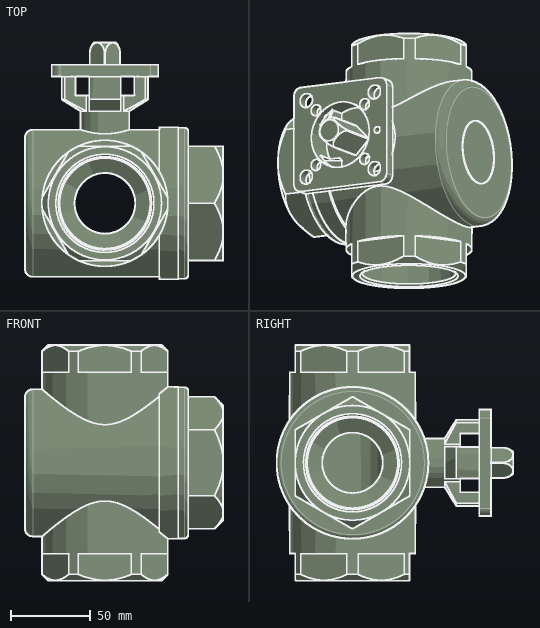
import cadquery as cq
import math


body_dia = 93.0
body_left = -50.5
body_edge_radius = 5.1
recess_dia = 40.0
recess_depth = 0.5

flange_dia = 96.0
flange_start = 34.4
collar_dia = 95.5
collar_start = 46.2
collar_end = 52.6
collar_edge_radius = 2.5

port_dia = 79.5
port_reach = 74.5
hex_flats = 72.2
hex_corner_dia = hex_flats / math.cos(math.radians(30))
port_hex_length = 17.2
port_chamfer = 4.0
side_port_reach = 74.6
side_hex_top_dia = 72.4

mouth_dia = 61.9
bore_start_dia = 58.9
bore_end_dia = 57.1
mouth_chamfer = (mouth_dia - bore_start_dia) / 2
bore_depth = 29.9
passage_dia = 38.1
funnel_slope = 30
funnel_width = (bore_end_dia - passage_dia) / 2
funnel_depth = funnel_width * math.tan(math.radians(funnel_slope))

neck_dia = 31.0
neck_end = 68.0
yoke_dia = 54.6
yoke_bore_dia = 42.0
yoke_start = 58.2
yoke_cone_end = 65.5
prong_width = 20.0
plate_size = 67.3
plate_start = 79.9
plate_thickness = 7.6
plate_corner_radius = 5.1
large_hole_dia = 9
large_hole_circle = 70.0
small_hole_dia = 7.0
small_hole_circle = 50.0
pin_hole_dia = 4.2
pin_hole_offset = 26.8

stem_square = 14.0
stem_dia = 19.3
stem_end = 101.5
stem_dome_height = 6.9


def rod(plane, diameter, start, end):
    """Cylinder on the named plane's normal between two places along it."""
    return cq.Workplane(plane).workplane(offset=start).circle(diameter / 2).extrude(end - start)


def rod_y(diameter, start, end):
    """Cylinder on the Y axis; the XZ plane's normal points to -Y."""
    return rod("XZ", diameter, -end, -start)


def turned(profile):
    """Solid of revolution about Z from (radius, height) points."""
    return cq.Workplane("XZ").polyline(profile).close().revolve(360, (0, 0), (0, 1))


def along_x(shape):
    """Turn a shape built along +Z so that it points along +X."""
    return shape.rotate((0, 0, 0), (0, 1, 0), 90)


def along_y(shape):
    """Turn a shape built along +Z so that it points along +Y."""
    return shape.rotate((0, 0, 0), (1, 0, 0), -90)


def hexagon(start, end):
    """Hexagonal prism along Z with two of its flats facing +Y and -Y."""
    return cq.Workplane("XY").workplane(offset=start).polygon(6, hex_corner_dia).extrude(end - start)


def body():
    barrel = rod("YZ", body_dia, body_left, flange_start).faces("<X").edges().fillet(body_edge_radius)
    recess = rod("YZ", recess_dia, body_left, body_left + recess_depth)
    flange = rod("YZ", flange_dia, flange_start, collar_start)
    collar = rod("YZ", collar_dia, collar_start, collar_end).faces(">X").edges().fillet(collar_edge_radius)
    return barrel.cut(recess).union(flange).union(collar)


def upper_port():
    """Round port whose end is flattened to a hexagon."""
    hex_start = port_reach - port_hex_length
    pipe = rod("XY", port_dia, 0, hex_start)
    end = rod("XY", port_dia, hex_start, port_reach).faces(">Z").edges().chamfer(port_chamfer)
    return pipe.union(end.intersect(hexagon(hex_start, port_reach)))


def side_port():
    """Full hexagon at the +X end with its corners turned down to a 45 degree cone."""
    corner_radius = hex_corner_dia / 2
    top_radius = side_hex_top_dia / 2
    cone_start = side_port_reach - (corner_radius - top_radius)
    envelope = turned([
        (0, 0),
        (corner_radius, 0),
        (corner_radius, cone_start),
        (top_radius, side_port_reach),
        (0, side_port_reach),
    ])
    prism = hexagon(collar_end, side_port_reach)
    return along_x(prism.intersect(envelope))


def port_bore(reach):
    """Chamfered mouth, tapered thread bore, funnel and passage down to the centre."""
    bore_end = reach - bore_depth
    return turned([
        (0, 0),
        (passage_dia / 2, 0),
        (passage_dia / 2, bore_end - funnel_depth),
        (bore_end_dia / 2, bore_end),
        (bore_start_dia / 2, reach - mouth_chamfer),
        (mouth_dia / 2, reach),
        (0, reach),
    ])


def yoke():
    """Four prongs that rise from the neck to the mounting plate."""
    outside = along_y(turned([
        (0, yoke_start),
        (neck_dia / 2, yoke_start),
        (yoke_dia / 2, yoke_cone_end),
        (yoke_dia / 2, plate_start),
        (0, plate_start),
    ]))
    middle = (yoke_start + plate_start) / 2
    height = plate_start - yoke_start
    bar_x = cq.Workplane("XY").box(yoke_dia, height, prong_width).translate((0, middle, 0))
    bar_z = cq.Workplane("XY").box(prong_width, height, yoke_dia).translate((0, middle, 0))
    return outside.intersect(bar_x.union(bar_z)).cut(rod_y(yoke_bore_dia, neck_end, plate_start))


def plate():
    """Square mounting plate with a central opening, two bolt squares and one pin hole."""
    blank = (
        cq.Workplane("XY")
        .box(plate_size, plate_thickness, plate_size)
        .edges("|Y")
        .fillet(plate_corner_radius)
        .translate((0, plate_start + plate_thickness / 2, 0))
    )
    plate_end = plate_start + plate_thickness
    blank = blank.cut(rod_y(yoke_bore_dia, plate_start, plate_end))
    bolt_squares = ((large_hole_dia, large_hole_circle), (small_hole_dia, small_hole_circle))
    for hole_dia, circle_dia in bolt_squares:
        offset = circle_dia / 2 * math.cos(math.radians(45))
        for x in (-offset, offset):
            for z in (-offset, offset):
                blank = blank.cut(rod_y(hole_dia, plate_start, plate_end).translate((x, 0, z)))
    return blank.cut(rod_y(pin_hole_dia, plate_start, plate_end).translate((-pin_hole_offset, 0, 0)))


def stem():
    """Square stem on edge, with rounded corners and a domed end."""
    bar = (
        cq.Workplane("XY")
        .rect(stem_square, stem_square)
        .extrude(stem_end)
        .rotate((0, 0, 0), (0, 0, 1), 45)
    )
    dome_centre = stem_end - stem_dome_height
    dome = cq.Workplane("XY").sphere(stem_dia / 2).translate((0, 0, dome_centre))
    envelope = rod("XY", stem_dia, 0, dome_centre).union(dome)
    above_neck = rod("XY", stem_dia, neck_end, stem_end)
    return along_y(bar.intersect(envelope).intersect(above_neck))


lower_port = upper_port().mirror("XY")
neck = rod_y(neck_dia, 0, neck_end)

result = body().union(upper_port()).union(lower_port).union(side_port())
result = result.union(neck).union(yoke()).union(plate()).union(stem())

upper_bore = port_bore(port_reach)
result = result.cut(upper_bore).cut(upper_bore.mirror("XY")).cut(along_x(port_bore(side_port_reach)))